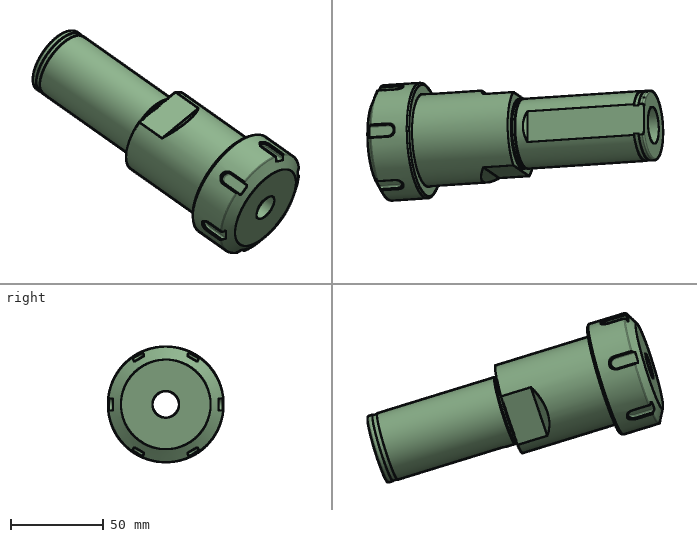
import cadquery as cq
import math

total_length = 155.0
shoulder_x = 75.0
nut_back_x = 129.3

shank_diameter = 38.1
groove_diameter = 37.5
end_groove_start_x = 3.1
end_groove_width = 2.6
end_fillet = 1.0
relief_width = 2.5
relief_ramp = 0.55
shank_flat_y = 17.0
shank_flat_end_x = 66.2

body_diameter = 50.0
wrench_flat_size = 40.8
wrench_flat_length = 17.0

rear_bore_diameter = 20.0
rear_bore_depth = 10.0
drill_tip_half_angle = 59.0
through_bore_diameter = 14.3

nut_diameter = 63.0
nut_back_chamfer = 1.1
nut_face_diameter = 48.7
nut_cone_angle = 30.0
nut_edge_fillet = 0.6
nut_front_wall = 7.1
nut_clearance = 0.23
nut_recess_diameter = body_diameter + 2 * nut_clearance
spigot_end_x = total_length - nut_front_wall

slot_count = 6
slot_first_angle = -90.0
slot_width = 6.4
slot_start_x = 137.3
slot_floor_radius = 28.7
slot_flare_radius = 30.7
slot_floor_fillet = 0.39
slot_edge_chamfer = 0.6

index_hole_diameter = 1.43
index_hole_radius = 27.5
index_hole_depth = 1.5


def x_cylinder(diameter, start_x, end_x):
    """Cylinder around the X axis between two stations."""
    plane = cq.Workplane("YZ", origin=(start_x, 0, 0))
    return plane.circle(diameter / 2).extrude(end_x - start_x)


def revolve_profile(points):
    """Solid of revolution around the X axis from (x, radius) points."""
    return cq.Workplane("XY").polyline(points).close().revolve(360, (0, 0, 0), (1, 0, 0))


def holder_blank():
    """Grooved shank, stepped body and the spigot that enters the nut."""
    shank_r = shank_diameter / 2
    groove_r = groove_diameter / 2
    body_r = body_diameter / 2
    groove_end_x = end_groove_start_x + end_groove_width
    relief_start_x = shoulder_x - relief_width
    blank = revolve_profile([
        (0, 0),
        (0, shank_r),
        (end_groove_start_x, shank_r),
        (end_groove_start_x, groove_r),
        (groove_end_x, groove_r),
        (groove_end_x, shank_r),
        (relief_start_x, shank_r),
        (relief_start_x + relief_ramp, groove_r),
        (shoulder_x - relief_ramp, groove_r),
        (shoulder_x, shank_r),
        (shoulder_x, body_r),
        (spigot_end_x, body_r),
        (spigot_end_x, 0),
    ])
    return blank.faces("<X").edges().fillet(end_fillet)


def shank_flat():
    """Cutter for the driving flat on the +Y side, with a 45 degree run-out."""
    cut_height = body_diameter / 2
    cut_top_y = shank_flat_y + cut_height
    return (
        cq.Workplane("XY")
        .polyline([
            (0, shank_flat_y),
            (shank_flat_end_x, shank_flat_y),
            (shank_flat_end_x + cut_height, cut_top_y),
            (0, cut_top_y),
        ])
        .close()
        .extrude(shank_diameter / 2, both=True)
    )


def wrench_flat():
    """Cutter for the +Z wrench flat, with a 45 degree run-out."""
    flat_z = wrench_flat_size / 2
    flat_end_x = shoulder_x + wrench_flat_length
    cut_height = body_diameter / 2 - flat_z
    return (
        cq.Workplane("XZ")
        .polyline([
            (shoulder_x, flat_z),
            (flat_end_x, flat_z),
            (flat_end_x + cut_height, body_diameter / 2),
            (shoulder_x, body_diameter / 2),
        ])
        .close()
        .extrude(body_diameter / 2, both=True)
    )


def stepped_bore():
    """Rear bore with a conical bottom that leads into the through bore."""
    rear_r = rear_bore_diameter / 2
    through_r = through_bore_diameter / 2
    tip_length = (rear_r - through_r) / math.tan(math.radians(drill_tip_half_angle))
    return revolve_profile([
        (0, 0),
        (0, rear_r),
        (rear_bore_depth, rear_r),
        (rear_bore_depth + tip_length, through_r),
        (total_length, through_r),
        (total_length, 0),
    ])


def make_holder():
    flat = wrench_flat()
    holder = holder_blank().cut(shank_flat())
    holder = holder.cut(flat).cut(flat.mirror("XY"))
    return holder.cut(stepped_bore())


def nut_blank():
    """Round nut with a chamfered back edge and a conical front."""
    nut_r = nut_diameter / 2
    face_r = nut_face_diameter / 2
    cone_length = (nut_r - face_r) * math.tan(math.radians(nut_cone_angle))
    blank = revolve_profile([
        (nut_back_x, 0),
        (nut_back_x, nut_r - nut_back_chamfer),
        (nut_back_x + nut_back_chamfer, nut_r),
        (total_length - cone_length, nut_r),
        (total_length, face_r),
        (total_length, 0),
    ])
    rim_edge = cq.selectors.NearestToPointSelector((total_length - cone_length, 0, 0))
    return blank.edges("%CIRCLE").edges(rim_edge).fillet(nut_edge_fillet)


def slot_prism(half_width, base_radius, height, taper=0):
    """Prism toward +Z with a round closed end and an open front."""
    end_center_x = slot_start_x + slot_width / 2 + slot_edge_chamfer
    open_end_x = total_length + half_width
    return (
        cq.Workplane("XY", origin=(0, 0, base_radius))
        .moveTo(open_end_x, -half_width)
        .lineTo(end_center_x, -half_width)
        .threePointArc((end_center_x - half_width, 0), (end_center_x, half_width))
        .lineTo(open_end_x, half_width)
        .close()
        .extrude(height, taper=taper)
    )


def spanner_slot():
    """Cutter for one slot at +Z: straight walls that flare at 45 degrees near the rim."""
    nut_r = nut_diameter / 2
    half_width = slot_width / 2
    flare_height = nut_r - slot_flare_radius
    walls = slot_prism(half_width, slot_floor_radius, nut_r - slot_floor_radius)
    walls = walls.faces("<Z").edges("not(>X)").fillet(slot_floor_fillet)
    flare = slot_prism(half_width, slot_flare_radius, flare_height, taper=-45)
    return walls.union(flare)


def index_hole():
    return (
        cq.Workplane("YZ", origin=(nut_back_x, -index_hole_radius, 0))
        .circle(index_hole_diameter / 2)
        .extrude(index_hole_depth)
    )


def make_nut():
    nut = nut_blank()
    nut = nut.cut(x_cylinder(nut_recess_diameter, nut_back_x, spigot_end_x))
    nut = nut.cut(x_cylinder(through_bore_diameter, spigot_end_x, total_length))
    slot = spanner_slot()
    for index in range(slot_count):
        angle = slot_first_angle + index * 360 / slot_count
        nut = nut.cut(slot.rotate((0, 0, 0), (1, 0, 0), angle))
    return nut.cut(index_hole())


holder = make_holder()
nut = make_nut()
result = cq.Compound.makeCompound([holder.val(), nut.val()])